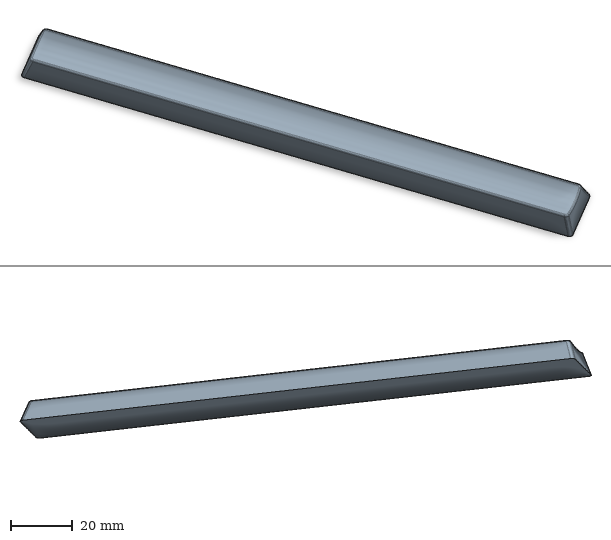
import cadquery as cq
import math

length = 189.75
width = 18.3
height = 7.39
wall_draft = 17.5
corner_radius = 1.3
rim_radius = 0.65
dish_floor = 6.45
trim_allowance = 2.0

blank_height = height + trim_allowance
draft = math.radians(wall_draft)

rim_centre_z = height - rim_radius
rim_centre_y = width / 2 - rim_centre_z * math.tan(draft) - rim_radius / math.cos(draft)

floor_rise = dish_floor - rim_centre_z
dish_radius = (rim_centre_y**2 + floor_rise**2 - rim_radius**2) / (2 * (rim_radius - floor_rise))


def dish_point(y):
    """Point of the dish arc at distance y from the centre line."""
    return (y, dish_floor + dish_radius - math.sqrt(dish_radius**2 - y**2))


def make_tapered_blank():
    """Rectangular bar with four leaning walls and rounded corner edges."""
    taper = 2 * blank_height * math.tan(draft)
    blank = (
        cq.Workplane("XY")
        .rect(length, width)
        .workplane(offset=blank_height)
        .rect(length - taper, width - taper)
        .loft(ruled=True)
    )
    return blank.edges("not(#Z)").fillet(corner_radius)


def make_dish_cutter():
    """Everything above a full-length cylindrical dish."""
    half_width = width / 2
    cutter_top = blank_height + trim_allowance
    return (
        cq.Workplane("YZ", origin=(-length / 2, 0, 0))
        .moveTo(*dish_point(-half_width))
        .threePointArc(dish_point(0), dish_point(half_width))
        .lineTo(half_width, cutter_top)
        .lineTo(-half_width, cutter_top)
        .close()
        .extrude(length)
    )


def round_rim(body):
    """Round the edge around the dish; the fillet runs on from the highest edges."""
    return body.edges(">Z").fillet(rim_radius)


result = round_rim(make_tapered_blank().cut(make_dish_cutter()))